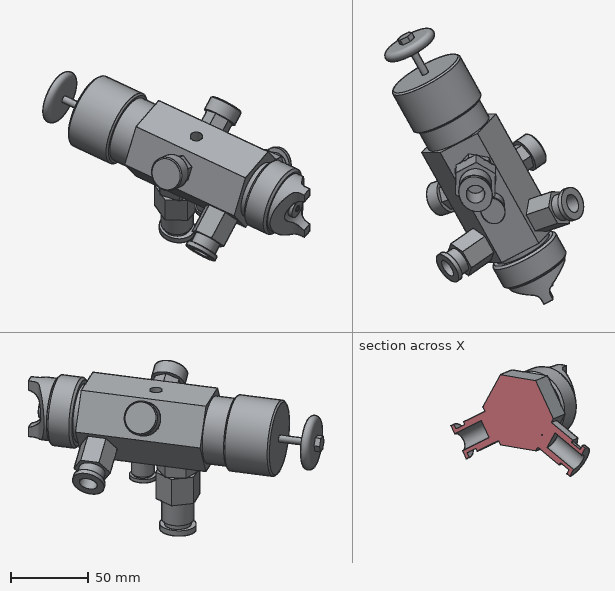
import cadquery as cq
import math


WHEEL_X = 3.7
WHEEL_END_X = 10.0
ADJUSTER_X = 28.5
ADJUSTER_END_X = 59.5
BODY_X = 74.2
BODY_END_X = 158.2
RING_X = 162.3
RING_END_X = 179.5
TIP_X = 196.8

NUB_FLATS = 9.2
NUB_TURN = 7.0
WHEEL_DIA = 35.8
ROD_DIA = 4.7
ADJUSTER_DIA = 50.0
ADJUSTER_CHAMFER = 1.2
NECK_DIA = 44.5

BODY_FLATS = 47.5
TOP_HOLE_DIA = 7.9
TOP_HOLE_DEPTH = 11.8

FRONT_NECK_DIA = 38.4
RING_DIA = 46.5
RING_CHAMFER = 1.5
CAP_DIA = 41.0
WEDGE_X = 181.5
WEDGE_ANGLE = 63.0
HORN_HALF_WIDTH = 3.3
HORN_BLEND = 5.5
NOTCH_RADIUS = 14.0
NOTCH_CENTER_X = 200.3
NOZZLE_DIA = 13.0
NOZZLE_END_X = 189.3
NOZZLE_TIP_DIA = 4.1
NOZZLE_TIP_X = 189.9

KNOB_X = 111.8
KNOB_TILT = 60.0
KNOB_DIA = 22.2
KNOB_BASE = 32.5
KNOB_TOP = 42.1
KNOB_CHAMFER = 0.8
KNOB_HEX_FLATS = 16.3

COLLAR_LENGTH = 24.0
COLLAR_WIDTH = 21.0
COLLAR_NECK_DIA = 17.5
COLLAR_BORE_DIA = 12.0
COLLAR_BORE_DEPTH = 23.6

SIDE_X = 144.2
SIDE_TILT = 120.0
SIDE_HEX_FLATS = 21.3
SIDE_HEX_TOP = 42.7
SIDE_TOP = 53.1
SIDE_COLLAR_BASE = 50.2

INLET_X = 97.0
INLET_SEAT_FLATS = 23.6
INLET_SEAT_TURN = -9.0
INLET_SEAT_TOP = 32.0
INLET_HEX_FLATS = 25.5
INLET_HEX_TOP = 51.2
INLET_BARREL_DIA = 21.0
INLET_BARREL_TOP = 67.5
INLET_COLLAR_BASE = 71.0
INLET_TOP = 75.0

PORT_X = 120.6
PORT_BARREL_DIA = 15.0
PORT_BARREL_TOP = 37.0
PORT_NECK_DIA = 12.2
PORT_FLANGE_LENGTH = 17.5
PORT_FLANGE_WIDTH = 15.3
PORT_FLANGE_BASE = 38.5
PORT_TOP = 41.1

DOWN_TILT = 180.0
QUARTER_TURN = 90.0


def rod_x(diameter, start, end):
    """Cylinder on the gun axis."""
    return cq.Workplane("YZ", origin=(start, 0, 0)).circle(diameter / 2).extrude(end - start)


def hex_x(flats, start, end):
    """Hexagonal bar on the gun axis with corners on +Y and -Y."""
    corners = flats / math.cos(math.radians(30))
    return cq.Workplane("YZ", origin=(start, 0, 0)).polygon(6, corners).extrude(end - start)


def rod_z(diameter, base, top):
    """Cylinder on the local Z axis of a fitting."""
    return cq.Workplane("XY", origin=(0, 0, base)).circle(diameter / 2).extrude(top - base)


def oval_z(length, width, base, top):
    """Elliptical disc on the local Z axis, longest along X."""
    return cq.Workplane("XY", origin=(0, 0, base)).ellipse(length / 2, width / 2).extrude(top - base)


def hex_z(flats, top, turn=0.0):
    """Hexagonal bar from the gun axis up the local Z axis, corners on X before the turn."""
    corners = flats / math.cos(math.radians(30))
    bar = cq.Workplane("XY").polygon(6, corners).extrude(top)
    return bar.rotate((0, 0, 0), (0, 0, 1), turn)


def place(fitting, x, tilt):
    """Tilt a fitting about the gun axis, away from +Z, and move it along the gun."""
    return fitting.rotate((0, 0, 0), (1, 0, 0), tilt).translate((x, 0, 0))


def make_adjuster():
    nub = hex_x(NUB_FLATS, 0, WHEEL_X).rotate((0, 0, 0), (1, 0, 0), NUB_TURN)
    rim_radius = (WHEEL_END_X - WHEEL_X) / 2
    rim_center = WHEEL_DIA / 2 - rim_radius
    wheel = (
        cq.Workplane("XY")
        .moveTo(WHEEL_X, 0)
        .lineTo(WHEEL_X, rim_center)
        .threePointArc((WHEEL_X + rim_radius, WHEEL_DIA / 2), (WHEEL_END_X, rim_center))
        .lineTo(WHEEL_END_X, 0)
        .close()
        .revolve(360, (0, 0, 0), (1, 0, 0))
    )
    rod = rod_x(ROD_DIA, WHEEL_END_X, ADJUSTER_X)
    sleeve = rod_x(ADJUSTER_DIA, ADJUSTER_X, ADJUSTER_END_X).edges().chamfer(ADJUSTER_CHAMFER)
    neck = rod_x(NECK_DIA, ADJUSTER_END_X, BODY_X)
    return nub.union(wheel).union(rod).union(sleeve).union(neck)


def make_air_cap():
    neck = rod_x(FRONT_NECK_DIA, BODY_END_X, RING_X)
    ring = rod_x(RING_DIA, RING_X, RING_END_X).edges().chamfer(RING_CHAMFER)

    cap_radius = CAP_DIA / 2
    slope = math.radians(WEDGE_ANGLE)
    corner_x = WEDGE_X + (cap_radius - HORN_HALF_WIDTH) / math.tan(slope)
    tangent = HORN_BLEND * math.tan(slope / 2)
    blend_x = corner_x - tangent * math.cos(slope)
    blend_y = HORN_HALF_WIDTH + tangent * math.sin(slope)
    horn_x = corner_x + tangent
    middle_x = horn_x - HORN_BLEND * math.sin(slope / 2)
    middle_y = HORN_HALF_WIDTH + HORN_BLEND * (1 - math.cos(slope / 2))
    wedge = (
        cq.Workplane("XY")
        .moveTo(RING_END_X, cap_radius)
        .lineTo(WEDGE_X, cap_radius)
        .lineTo(blend_x, blend_y)
        .threePointArc((middle_x, middle_y), (horn_x, HORN_HALF_WIDTH))
        .lineTo(TIP_X, HORN_HALF_WIDTH)
        .lineTo(TIP_X, 0)
        .lineTo(RING_END_X, 0)
        .close()
        .extrude(cap_radius, both=True)
    )
    wedge = wedge.union(wedge.mirror("XZ"))
    cap = rod_x(CAP_DIA, RING_END_X, TIP_X).intersect(wedge)

    notch = cq.Workplane("XZ").center(NOTCH_CENTER_X, 0).circle(NOTCH_RADIUS).extrude(CAP_DIA, both=True)
    nozzle = rod_x(NOZZLE_DIA, RING_END_X, NOZZLE_END_X)
    nozzle_tip = rod_x(NOZZLE_TIP_DIA, NOZZLE_END_X, NOZZLE_TIP_X)
    return neck.union(ring).union(cap.cut(notch)).union(nozzle).union(nozzle_tip)


def make_knob():
    stem = hex_z(KNOB_HEX_FLATS, KNOB_BASE, QUARTER_TURN)
    head = rod_z(KNOB_DIA, KNOB_BASE, KNOB_TOP).faces(">Z").edges().chamfer(KNOB_CHAMFER)
    return stem.union(head)


def make_collar(neck_base, flange_base, top):
    """Release collar with an oval flange, longest along X, on a thin neck."""
    flange = oval_z(COLLAR_LENGTH, COLLAR_WIDTH, flange_base, top)
    return rod_z(COLLAR_NECK_DIA, neck_base, flange_base).union(flange)


def bore_collar(fitting, top):
    return fitting.cut(rod_z(COLLAR_BORE_DIA, top - COLLAR_BORE_DEPTH, top))


def make_side_fitting():
    collar = make_collar(SIDE_HEX_TOP, SIDE_COLLAR_BASE, SIDE_TOP).rotate((0, 0, 0), (0, 0, 1), QUARTER_TURN)
    fitting = hex_z(SIDE_HEX_FLATS, SIDE_HEX_TOP).union(collar)
    return bore_collar(fitting, SIDE_TOP)


def make_inlet():
    seat = hex_z(INLET_SEAT_FLATS, INLET_SEAT_TOP, INLET_SEAT_TURN)
    large_hex = hex_z(INLET_HEX_FLATS, INLET_HEX_TOP - INLET_SEAT_TOP, QUARTER_TURN)
    large_hex = large_hex.translate((0, 0, INLET_SEAT_TOP))
    barrel = rod_z(INLET_BARREL_DIA, INLET_HEX_TOP, INLET_BARREL_TOP)
    collar = make_collar(INLET_BARREL_TOP, INLET_COLLAR_BASE, INLET_TOP)
    fitting = seat.union(large_hex).union(barrel).union(collar)
    return bore_collar(fitting, INLET_TOP)


def make_port():
    barrel = rod_z(PORT_BARREL_DIA, 0, PORT_BARREL_TOP)
    neck = rod_z(PORT_NECK_DIA, PORT_BARREL_TOP, PORT_FLANGE_BASE)
    flange = oval_z(PORT_FLANGE_LENGTH, PORT_FLANGE_WIDTH, PORT_FLANGE_BASE, PORT_TOP)
    return barrel.union(neck).union(flange)


result = hex_x(BODY_FLATS, BODY_X, BODY_END_X).union(make_adjuster()).union(make_air_cap())
for side in (1, -1):
    result = result.union(place(make_knob(), KNOB_X, side * KNOB_TILT))
    result = result.union(place(make_side_fitting(), SIDE_X, side * SIDE_TILT))
result = result.union(place(make_inlet(), INLET_X, DOWN_TILT))
result = result.union(place(make_port(), PORT_X, DOWN_TILT))

top_face = BODY_FLATS / 2
top_hole = rod_z(TOP_HOLE_DIA, top_face - TOP_HOLE_DEPTH, top_face).translate((KNOB_X, 0, 0))
result = result.cut(top_hole)